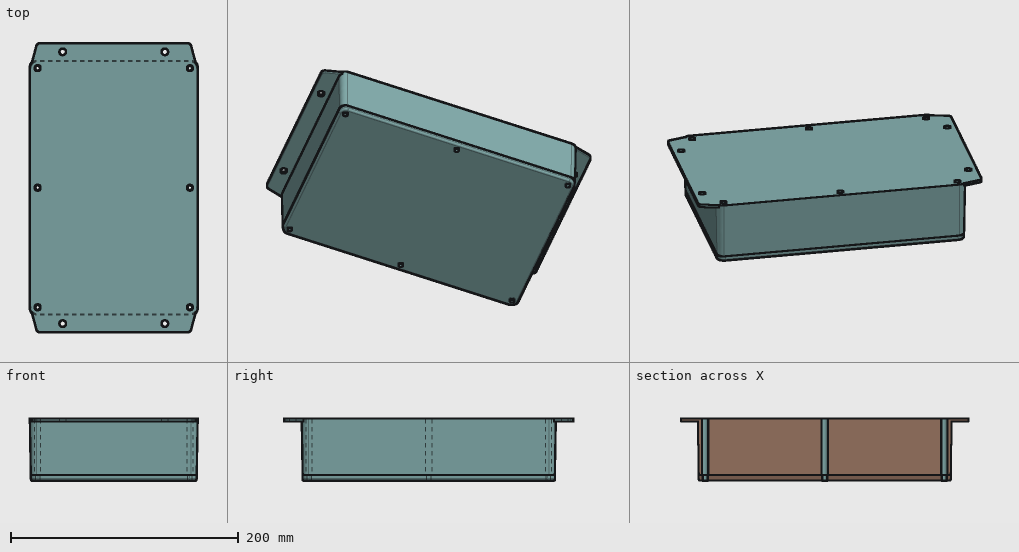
import cadquery as cq
import math

flange_length = 254.2
box_width = 147.7
box_length = 223.5
total_height = 55.0

box_corner_radius = 6.0
draft_angle = 1.0

flange_thickness = 2.8
flange_edge_radius = 0.8
flange_end_width = 134.8
flange_corner_radius = 3.5
flange_side_angle = 15.0
flange_overlap = 5.0

lid_thickness = 5.0
lid_width = 146.0
lid_length = 222.2
lid_corner_radius = 6.5
lid_edge_radius = 2.0

screw_spacing_x = 133.7
screw_spacing_y = 105.0
screw_bore_diameter = 5.3
screw_hole_diameter = 4.0
mount_spacing_x = 89.8
mount_spacing_y = 238.7
mount_hole_diameter = 5.5

box_height = total_height - lid_thickness
flange_bottom = total_height - flange_thickness

screw_points = [
    (side * screw_spacing_x / 2, row * screw_spacing_y)
    for side in (-1, 1)
    for row in (-1, 0, 1)
]
mount_points = [
    (side * mount_spacing_x / 2, end * mount_spacing_y / 2)
    for side in (-1, 1)
    for end in (-1, 1)
]


def drafted_block(width, length, corner_radius, top, height):
    """Block with rounded corners, hanging from the height `top`, its sides leaning inward downward."""
    outline = cq.Sketch().rect(width, length).vertices().fillet(corner_radius)
    return (
        cq.Workplane("XY")
        .workplane(offset=top)
        .placeSketch(outline)
        .extrude(-height, taper=draft_angle)
    )


def holes(points, diameter):
    """Vertical cylinders through the full height, for cutting."""
    return cq.Workplane("XY").pushPoints(points).circle(diameter / 2).extrude(total_height)


def make_flange(end):
    """Tapered mounting flange at the +Y end (end = 1) or the -Y end (end = -1)."""
    tip_y = flange_length / 2
    root_y = box_length / 2 - flange_overlap
    tip_x = flange_end_width / 2
    root_x = tip_x + (tip_y - root_y) * math.tan(math.radians(flange_side_angle))
    flange = (
        cq.Workplane("XY")
        .workplane(offset=flange_bottom)
        .polyline([
            (-root_x, end * root_y),
            (-tip_x, end * tip_y),
            (tip_x, end * tip_y),
            (root_x, end * root_y),
        ])
        .close()
        .extrude(flange_thickness)
    )
    tip_side = ">Y" if end > 0 else "<Y"
    flange = flange.edges("|Z").edges(tip_side).fillet(flange_corner_radius)
    root_side = "<Y" if end > 0 else ">Y"
    underside_rim = flange.faces("<Z").edges(f"not {root_side}")
    return underside_rim.fillet(flange_edge_radius)


def make_box():
    """Box body with its flanges, bored to the screw clearance size through its full height."""
    box = drafted_block(box_width, box_length, box_corner_radius, total_height, box_height)
    for end in (-1, 1):
        box = box.union(make_flange(end))
    box = box.cut(holes(screw_points, screw_bore_diameter))
    return box.cut(holes(mount_points, mount_hole_diameter))


def make_lid():
    """Lid with a rounded lower edge and screw holes narrower than the bores in the box."""
    lid = drafted_block(lid_width, lid_length, lid_corner_radius, lid_thickness, lid_thickness)
    lid = lid.faces("<Z").edges().fillet(lid_edge_radius)
    return lid.cut(holes(screw_points, screw_hole_diameter))


box = make_box()
lid = make_lid()

result = cq.Compound.makeCompound([box.val(), lid.val()])